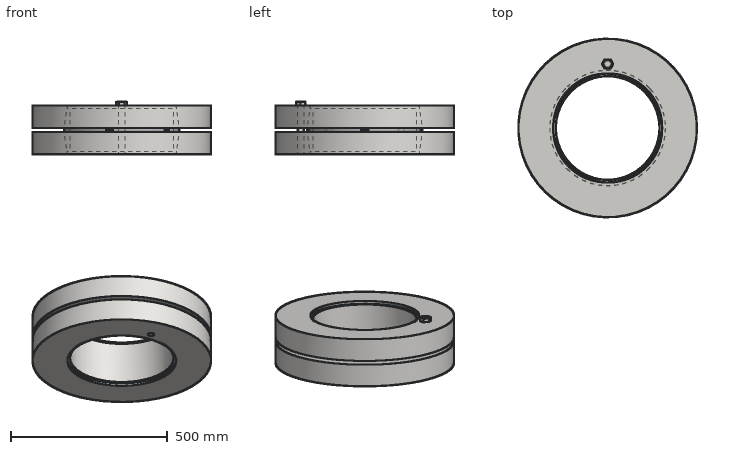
import cadquery as cq
import math


outer_diameter = 570.0
ring_thickness = 72.0
ring_gap = 12.5
outer_face_z = ring_gap / 2 + ring_thickness

bore_diameter = 330.0
middle_diameter = 369.5
seat_end_diameter = 346.5
end_recess = 9.5
inner_half_length = outer_face_z - end_recess

bolt_offset = 204.0
shank_diameter = 20.0
head_height = 12.5
across_flats = 30.0
head_top_diameter = 28.0
head_chamfer_angle = 30.0


def taper_radius(z):
    """Radius of the mating taper at a height z above or below the middle plane."""
    slope = (middle_diameter - seat_end_diameter) / 2 / outer_face_z
    return middle_diameter / 2 - slope * abs(z)


def revolve_profile(points):
    """Revolve a closed (radius, z) outline about the Z axis."""
    return cq.Workplane("XZ").polyline(points).close().revolve(360, (0, 0), (0, 1))


def make_inner_ring():
    bore_radius = bore_diameter / 2
    end_radius = taper_radius(inner_half_length)
    return revolve_profile([
        (bore_radius, -inner_half_length),
        (end_radius, -inner_half_length),
        (middle_diameter / 2, 0),
        (end_radius, inner_half_length),
        (bore_radius, inner_half_length),
    ])


def make_thrust_ring(side):
    """Thrust ring above (side = 1) or below (side = -1) the middle plane."""
    outer_radius = outer_diameter / 2
    inner_face_z = ring_gap / 2
    ring = revolve_profile([
        (taper_radius(inner_face_z), side * inner_face_z),
        (outer_radius, side * inner_face_z),
        (outer_radius, side * outer_face_z),
        (taper_radius(outer_face_z), side * outer_face_z),
    ])
    return ring.cut(make_shank())


def make_shank():
    """Cylinder of the bolt shank, which also cuts its holes in the thrust rings."""
    return (
        cq.Workplane("XY", origin=(0, bolt_offset, -outer_face_z))
        .circle(shank_diameter / 2)
        .extrude(2 * outer_face_z)
    )


def make_bolt_head():
    across_corners = across_flats / math.cos(math.radians(30))
    corner_radius = across_corners / 2
    top_radius = head_top_diameter / 2
    chamfer_drop = (corner_radius - top_radius) * math.tan(math.radians(head_chamfer_angle))
    hexagon = cq.Workplane("XY").polygon(6, across_corners).extrude(head_height)
    envelope = revolve_profile([
        (0, 0),
        (corner_radius, 0),
        (corner_radius, head_height - chamfer_drop),
        (top_radius, head_height),
        (0, head_height),
    ])
    return hexagon.intersect(envelope).translate((0, bolt_offset, outer_face_z))


def make_bolt():
    return make_bolt_head().union(make_shank())


inner_ring = make_inner_ring()
thrust_rings = [make_thrust_ring(side) for side in (1, -1)]
bolt = make_bolt()

result = cq.Compound.makeCompound(
    [inner_ring.val(), *[ring.val() for ring in thrust_rings], bolt.val()]
)